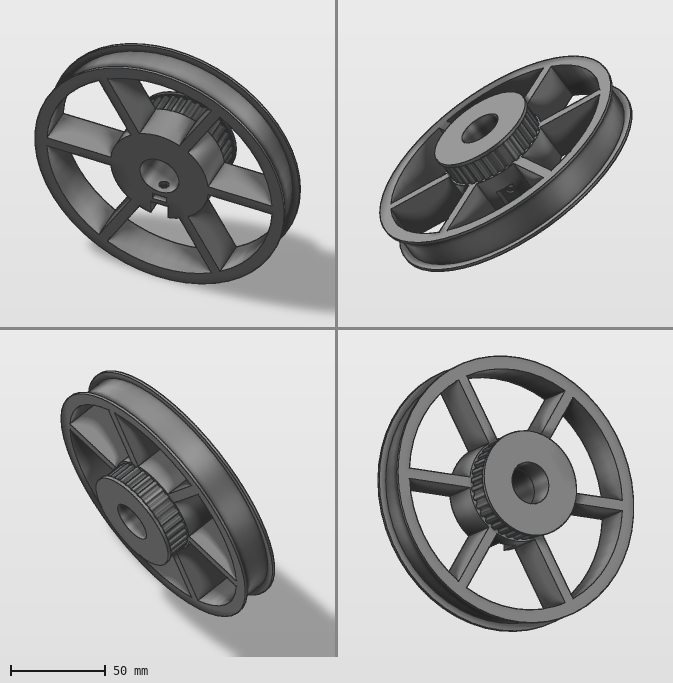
import cadquery as cq
import math

wheel_width = 21.0
rim_flange_diameter = 144.14
rim_flange_thickness = 1.5
rim_diameter = 136.3
rim_bore_diameter = 130.2
hub_diameter = 56.5
bore_diameter = 22.5
spoke_count = 6
spoke_width = 5.7

slot_width = 8.2
slot_height = 3.5
slot_center_z = -15.7
screw_hole_diameter = 5.2
screw_y = 6.0
nut_point_slope = 30.0
slot_tip_height = slot_width / 2 * math.tan(math.radians(nut_point_slope))
slot_tip_depth = screw_y + 2 * slot_tip_height
pocket_width = 10.0
pocket_top_z = -20.0
pocket_depth = 2 * screw_y

pulley_width = 15.0
pulley_diameter = 54.5
tooth_count = 35
groove_depth = 1.2
groove_top_width = 2.7
groove_floor_width = 1.8
tooth_corner_radius = 0.4
pulley_flange_diameter = hub_diameter
pulley_flange_thickness = 2.0


def disc(diameter, start_y, length):
    """Cylinder on the Y axis from start_y towards +Y."""
    plane = cq.Workplane("XZ", origin=(0, start_y, 0))
    return plane.circle(diameter / 2).extrude(-length)


def make_rim():
    rim = disc(rim_diameter, 0, wheel_width)
    for start_y in (0, wheel_width - rim_flange_thickness):
        rim = rim.union(disc(rim_flange_diameter, start_y, rim_flange_thickness))
    return rim.cut(disc(rim_bore_diameter, 0, wheel_width))


def make_spokes():
    """Spokes reach from the middle of the hub wall to the middle of the rim wall."""
    inner_radius = (bore_diameter + hub_diameter) / 2 / 2
    outer_radius = (rim_bore_diameter + rim_diameter) / 2 / 2
    length = outer_radius - inner_radius
    blank = cq.Workplane("XY").box(length, wheel_width, spoke_width)
    blank = blank.translate((inner_radius + length / 2, wheel_width / 2, 0))
    spacing = 360 / spoke_count
    return [blank.rotate((0, 0, 0), (0, 1, 0), i * spacing) for i in range(spoke_count)]


def make_nut_slot():
    """Slot open at the front, ending in the point of a hex nut."""
    half = slot_width / 2
    return (
        cq.Workplane("XY", origin=(0, 0, slot_center_z - slot_height / 2))
        .moveTo(-half, 0)
        .lineTo(half, 0)
        .lineTo(half, slot_tip_depth - slot_tip_height)
        .lineTo(0, slot_tip_depth)
        .lineTo(-half, slot_tip_depth - slot_tip_height)
        .close()
        .extrude(slot_height)
    )


def make_screw_hole():
    """Radial hole from the bore, through the nut slot, into the head pocket."""
    plane = cq.Workplane("XY", origin=(0, screw_y, 0))
    return plane.circle(screw_hole_diameter / 2).extrude(pocket_top_z)


def make_head_pocket():
    """Recess for the screw head, open at the front and at the underside of the hub."""
    height = hub_diameter / 2 + pocket_top_z
    blank = cq.Workplane("XY").box(pocket_width, pocket_depth, height)
    return blank.translate((0, pocket_depth / 2, pocket_top_z - height / 2))


def make_wheel():
    wheel = make_rim().union(disc(hub_diameter, 0, wheel_width))
    for spoke in make_spokes():
        wheel = wheel.union(spoke)
    wheel = wheel.cut(disc(bore_diameter, 0, wheel_width))
    return wheel.cut(make_nut_slot()).cut(make_screw_hole()).cut(make_head_pocket())


def make_groove():
    """Trapezoidal belt groove at +Z, reaching past the tooth tips."""
    radius = pulley_diameter / 2
    floor = radius - groove_depth
    flank_slope = (groove_top_width - groove_floor_width) / 2 / groove_depth
    clearance = 1.0
    outer_half = groove_top_width / 2 + flank_slope * clearance
    floor_half = groove_floor_width / 2
    outline = [
        (-outer_half, radius + clearance),
        (outer_half, radius + clearance),
        (floor_half, floor),
        (-floor_half, floor),
    ]
    plane = cq.Workplane("XZ", origin=(0, wheel_width, 0))
    return plane.polyline(outline).close().extrude(-pulley_width)


def make_pulley():
    pulley = disc(pulley_diameter, wheel_width, pulley_width)
    groove = make_groove()
    for i in range(tooth_count):
        pulley = pulley.cut(groove.rotate((0, 0, 0), (0, 1, 0), i * 360 / tooth_count))
    pulley = pulley.edges("|Y").fillet(tooth_corner_radius)
    flange_y = wheel_width + pulley_width - pulley_flange_thickness
    pulley = pulley.union(disc(pulley_flange_diameter, flange_y, pulley_flange_thickness))
    return pulley.cut(disc(bore_diameter, wheel_width, pulley_width))


wheel = make_wheel()
pulley = make_pulley()

result = cq.Compound.makeCompound([wheel.val(), pulley.val()])